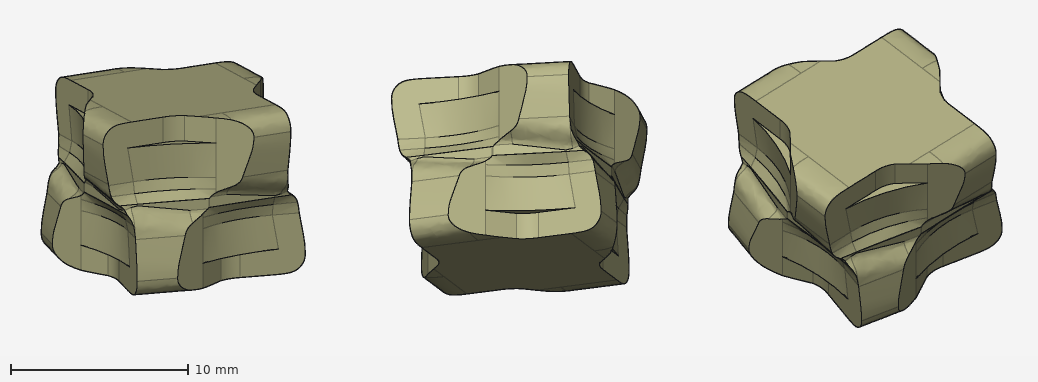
import cadquery as cq
import math


HALF_WIDTH = 6.64
HEIGHT = 10.0
HALF_HEIGHT = HEIGHT / 2
TWIST = 12.7
LOBES = 4
REACH = 7.97

FLAT_EDGE = 4.82
SHOULDER = (6.35, 4.63)
WIDEST_Z = 3.89
NECK = (6.3, 1.53)
TAPER = (-0.15, -1)
WAIST = 5.39
WAIST_Z = 0.27

RAMP_SIDE = (0.53, (5.82, 0.84), 0.35)
WALL_SIDE = (3.98, (5.96, 0.44), -0.24)

LIP_DEPTH = 1.5
LIP_Z = HALF_HEIGHT - LIP_DEPTH
WALL = 3.97
LOBE_CORNER = (-1.51, 6.59)
RAMP_END_X = 0.21
RAMP_SLOPE = -0.64
DEEP_ARC = ((1.6, 4.28), (2.16, 4.04), (2.8, WALL))

BLEND_Z = 1.46
FLARE_Z = 0.8
FLARE_SHARE = 0.3
CURVE_MIDDLE_X = 2.52
LIP_MIDDLE_Y = 4.48
BLEND_MIDDLE_Y = 4.3
LIP_WALL_X = 5.06
BLEND_WALL_X = 4.7
WAIST_BOW = 0.03
WAIST_WALL_END = 3.85
BASE_WALL_END = 4.38


def ramp_y(x):
    """Y of the notch ramp at position x."""
    return LOBE_CORNER[1] + RAMP_SLOPE * (x - LOBE_CORNER[0])


def facing_waist_y(x):
    """Y of the other half's waist face, in the frame of this half."""
    angle = math.radians(TWIST)
    return WAIST / math.cos(angle) - x * math.tan(angle)


RAMP_START = (LOBE_CORNER[0] + (REACH - LOBE_CORNER[1]) / RAMP_SLOPE, REACH)


def lobe_profile(x, curve_point, waist_z):
    """Closed half profile of a lobe in the plane at x, facing +Y."""
    return (
        cq.Workplane("YZ", origin=(x, 0, 0))
        .moveTo(0, HALF_HEIGHT)
        .lineTo(FLAT_EDGE, HALF_HEIGHT)
        .spline([SHOULDER, (HALF_WIDTH, WIDEST_Z)], tangents=[(1, 0), (0, -1)], includeCurrent=True)
        .spline([NECK], tangents=[(0, -1), TAPER], includeCurrent=True)
        .spline([curve_point, (WAIST, waist_z)], tangents=[TAPER, TAPER], includeCurrent=True)
        .lineTo(WAIST, -WAIST_Z)
        .lineTo(0, -WAIST_Z)
        .close()
        .val()
    )


def lobe_bar():
    """Bar along X with two opposite lobe ends, facing +Y and -Y."""
    ramp_x, ramp_point, ramp_waist = RAMP_SIDE
    wall_x, wall_point, wall_waist = WALL_SIDE
    sections = [
        lobe_profile(-REACH, wall_point, wall_waist),
        lobe_profile(-wall_x, wall_point, wall_waist),
        lobe_profile(-ramp_x, ramp_point, ramp_waist),
        lobe_profile(REACH, ramp_point, ramp_waist),
    ]
    half_bar = cq.Workplane(cq.Solid.makeLoft(sections, True))
    return half_bar.union(half_bar.rotate((0, 0, 0), (0, 0, 1), 180))


def deep_notch():
    """Notch with upright walls, through the end lip only."""
    foot, middle, wall_start = DEEP_ARC
    return (
        cq.Workplane("XY", origin=(0, 0, LIP_Z))
        .moveTo(*RAMP_START)
        .lineTo(RAMP_END_X, ramp_y(RAMP_END_X))
        .lineTo(*foot)
        .threePointArc(middle, wall_start)
        .lineTo(REACH, WALL)
        .lineTo(REACH, REACH)
        .close()
        .extrude(LIP_DEPTH)
    )


def mix(first, second, share):
    """Points part of the way from one list of points to another."""
    return [
        (x1 + share * (x2 - x1), y1 + share * (y2 - y1))
        for (x1, y1), (x2, y2) in zip(first, second)
    ]


def notch_outline(z, points):
    """Closed outline of the shallow notch at height z."""
    ramp_end, middle, wall_start, wall_end = points
    return (
        cq.Workplane("XY", origin=(0, 0, z))
        .moveTo(*RAMP_START)
        .lineTo(*ramp_end)
        .threePointArc(middle, wall_start)
        .lineTo(*wall_end)
        .lineTo(REACH, REACH)
        .close()
        .val()
    )


def shallow_notch():
    """Hollow under the lip, flaring out to the waist of the other half."""
    ramp_end = (RAMP_END_X, ramp_y(RAMP_END_X))
    lip = [ramp_end, (CURVE_MIDDLE_X, LIP_MIDDLE_Y), (LIP_WALL_X, WALL), (REACH, WALL)]
    blend = [ramp_end, (CURVE_MIDDLE_X, BLEND_MIDDLE_Y), (BLEND_WALL_X, WALL), (REACH, WALL)]
    waist_middle = (CURVE_MIDDLE_X, facing_waist_y(CURVE_MIDDLE_X) - WAIST_BOW)
    waist_wall = (BLEND_WALL_X, facing_waist_y(BLEND_WALL_X))
    waist = [ramp_end, waist_middle, waist_wall, (REACH, WAIST_WALL_END)]
    base = waist[:-1] + [(REACH, BASE_WALL_END)]
    levels = [
        (LIP_Z, lip),
        (BLEND_Z, blend),
        (FLARE_Z, mix(blend, waist, FLARE_SHARE)),
        (WAIST_Z, waist),
        (-WAIST_Z, base),
    ]
    outlines = [notch_outline(z, points) for z, points in levels]
    return cq.Workplane(cq.Solid.makeLoft(outlines, True))


def half_block():
    """Upper half, with its lobes along X and Y."""
    bar = lobe_bar()
    body = bar.intersect(bar.rotate((0, 0, 0), (0, 0, 1), 90))
    notch = deep_notch().union(shallow_notch())
    for index in range(LOBES):
        body = body.cut(notch.rotate((0, 0, 0), (0, 0, 1), index * 360 / LOBES))
    return body


half = half_block()
upper = half.rotate((0, 0, 0), (0, 0, 1), TWIST)
lower = half.rotate((0, 0, 0), (1, 0, 0), 180)
result = upper.union(lower)